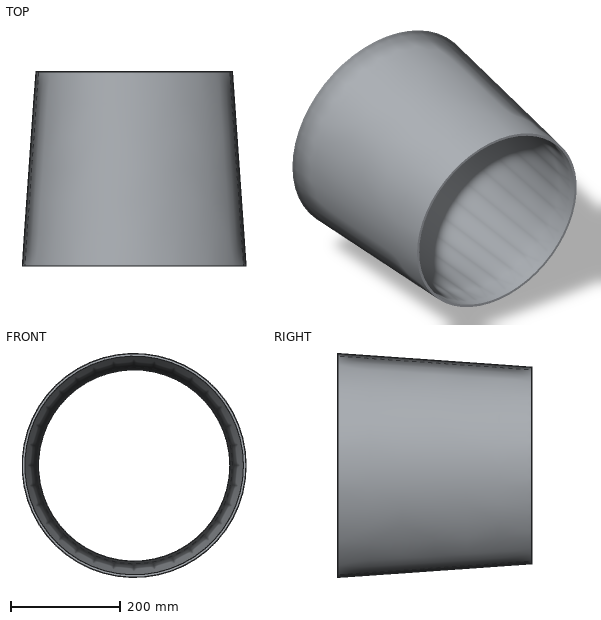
import cadquery as cq

wide_diameter = 410.0
narrow_diameter = 360.0
length = 356.0
wall = 5.0

wide_radius = wide_diameter / 2
narrow_radius = narrow_diameter / 2

wall_section = (
    cq.Workplane("XY")
    .moveTo(wide_radius - wall, 0)
    .lineTo(wide_radius, 0)
    .lineTo(narrow_radius, length)
    .lineTo(narrow_radius - wall, length)
    .close()
)

result = wall_section.revolve(360, (0, 0, 0), (0, 1, 0))